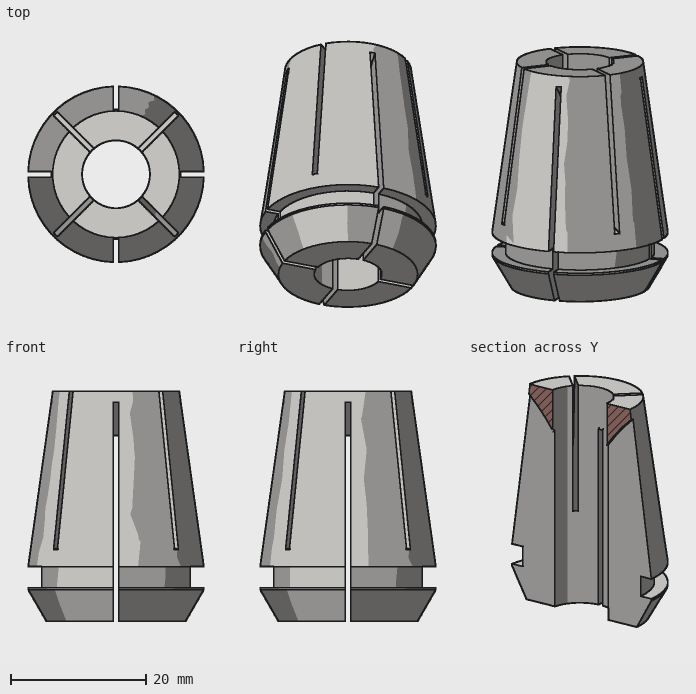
import cadquery as cq
import math

total_length = 34.0
max_radius = 13.0
bore_radius = 5.0

taper_half_angle = math.radians(8)
taper_base_z = 8.1

groove_radius = 11.0
groove_base_z = 5.0
nose_rim_z = 4.7
nose_half_angle = math.radians(30)
nose_tip_radius = max_radius - nose_rim_z * math.tan(nose_half_angle)

slot_width = 0.8
slots_per_set = 4
slot_overrun = 1.0

lower_slot_outer_z = 32.4
lower_slot_bore_z = 27.45
lower_slot_end_radius = 30.0
lower_slot_start_angle = 0.0

upper_slot_outer_z = 10.6
upper_slot_bore_z = 14.4
upper_slot_end_radius = 20.0
upper_slot_start_angle = lower_slot_start_angle + 180 / slots_per_set


def taper_radius_at(z):
    return max_radius - (z - taper_base_z) * math.tan(taper_half_angle)


def make_body():
    outline = [
        (bore_radius, 0),
        (nose_tip_radius, 0),
        (max_radius, nose_rim_z),
        (max_radius, groove_base_z),
        (groove_radius, groove_base_z),
        (groove_radius, taper_base_z),
        (max_radius, taper_base_z),
        (taper_radius_at(total_length), total_length),
        (bore_radius, total_length),
    ]
    return cq.Workplane("XZ").polyline(outline).close().revolve(360, (0, 0, 0), (0, 1, 0))


def make_slot(bore_z, outer_z, open_z, end_radius):
    """Radial slot along +X; its closed end is the arc of a disc cutter fed in from outside."""
    outer_radius = taper_radius_at(outer_z)
    arc_radius = math.copysign(end_radius, bore_z - open_z)
    far_radius = max_radius + slot_overrun
    profile = (
        cq.Workplane("XZ")
        .moveTo(0, open_z)
        .lineTo(0, bore_z)
        .lineTo(bore_radius, bore_z)
        .radiusArc((outer_radius, outer_z), arc_radius)
        .lineTo(far_radius, outer_z)
        .lineTo(far_radius, open_z)
        .close()
    )
    return profile.extrude(slot_width / 2, both=True)


def cut_slot_set(body, slot, start_angle):
    for index in range(slots_per_set):
        angle = start_angle + index * 360 / slots_per_set
        body = body.cut(slot.rotate((0, 0, 0), (0, 0, 1), angle))
    return body


lower_slot = make_slot(lower_slot_bore_z, lower_slot_outer_z, -slot_overrun, lower_slot_end_radius)
upper_slot = make_slot(
    upper_slot_bore_z, upper_slot_outer_z, total_length + slot_overrun, upper_slot_end_radius
)

result = make_body()
result = cut_slot_set(result, lower_slot, lower_slot_start_angle)
result = cut_slot_set(result, upper_slot, upper_slot_start_angle)